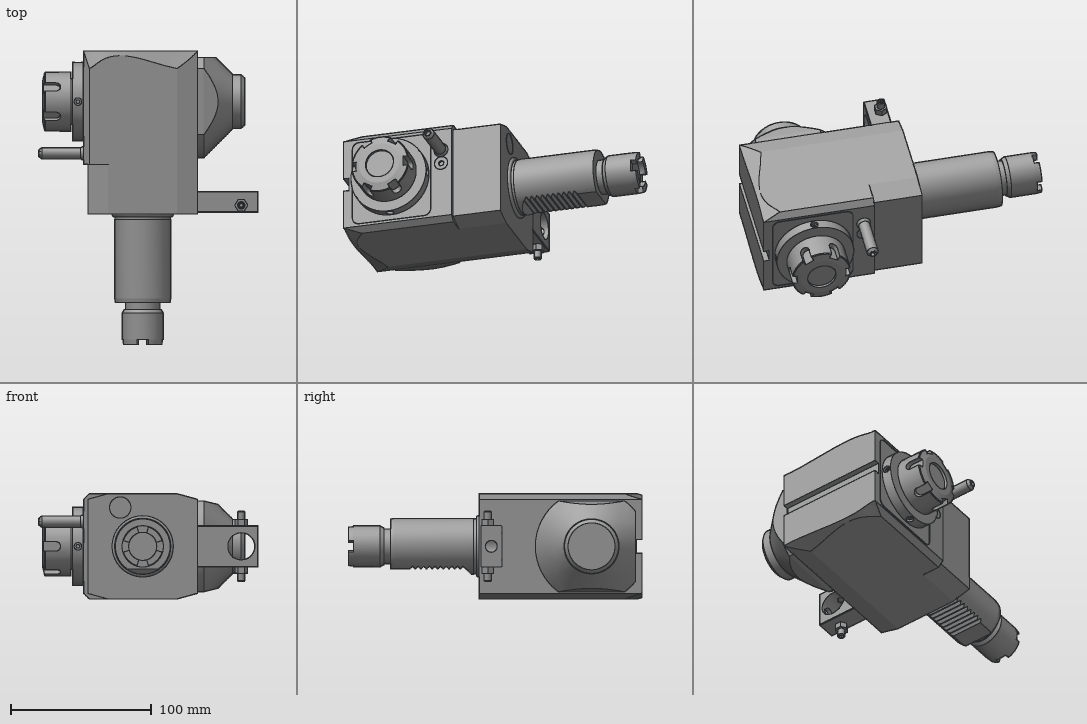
import cadquery as cq
import math

HALF_HEIGHT = 37.5
HALF_WIDTH = 39.0
HOUSING_LENGTH = 116.0
SIDE_SLOPE_WIDTH = 14.5
SIDE_SLOPE_DROP = 4.0
HEAD_START = 35.3
HEAD_FACE_X = -42.0
HEAD_CHAMFER = 4.0
BEVEL_SLOPE = 0.32
BEVEL_LEFT_X = HEAD_FACE_X + HEAD_CHAMFER
BEVEL_CREST_X = -13.6
BEVEL_RIGHT_X = HALF_WIDTH - SIDE_SLOPE_WIDTH
BEVEL_END_SETBACK = SIDE_SLOPE_DROP / BEVEL_SLOPE
BEVEL_CREST_SETBACK = 3.4
BEVEL_SHOULDER_X = -31.2
BEVEL_SHOULDER_SETBACK = 7.9
REAR_SLOT_WIDTH = 9.5
REAR_SLOT_DEPTH = 4.0
RELIEF_Y = 80.2
RELIEF_WIDTH = 58.4
RELIEF_HEIGHT = 63.0
RELIEF_CORNER = 5.0
RELIEF_DEPTH = 0.5
PLUG_X = -16.0
PLUG_Z = 27.6
PLUG_RADIUS = 7.6
PLUG_DEPTH = 0.4

FLANGE_RADIUS = 21.8
FLANGE_LENGTH = 2.0
FLANGE_ROUND = 1.5
UNDERCUT_RADIUS = 19.8
UNDERCUT_END = 3.8
SHAFT_RADIUS = 20.0
SHAFT_LENGTH = 63.0
LEAD_LENGTH = 2.7
LEAD_DROP = 0.5
NECK_RADIUS = 12.4
NECK_END = 67.8
COUPLING_RADIUS = 14.7
COUPLING_SHOULDER_RADIUS = 13.2
COUPLING_START = 70.6
COUPLING_TIP_RADIUS = 14.3
COUPLING_LENGTH = 93.0
COUPLING_BORE_RADIUS = 10.0
COUPLING_BORE_DEPTH = 4.2
DOG_DEPTH = 3.6
DOG_COUNT = 4
DOG_HALF_ANGLE = math.radians(16.5)

FLAT_Z = -16.0
FLAT_START = 9.2
TOOTH_COUNT = 10
TOOTH_PITCH = 4.0
TOOTH_FIRST = 11.4
TOOTH_DEPTH = 1.8

SPINDLE_Y = 80.0
RING_RADIUS = 28.0
RING_FRONT_X = -49.8
RING_BACK_X = -42.4
RING_SEAT_RADIUS = 25.0
SPINDLE_NECK_RADIUS = 16.3
NUT_RADIUS = 21.2
NUT_BACK_X = -51.2
NUT_SHOULDER_X = -69.3
NUT_CHAMFER = 0.6
NUT_FRONT_X = -71.2
NUT_FACE_RADIUS = 15.0
NUT_RECESS_RADIUS = 10.4
NUT_RECESS_DEPTH = 2.0
NUT_SLOT_COUNT = 6
NUT_SLOT_WIDTH = 6.8
NUT_SLOT_FLOOR = 17.5
NUT_SLOT_END_X = -58.5
RING_HOLE_COUNT = 4
RING_HOLE_RADIUS = 2.7
RING_HOLE_DEPTH = 2.0
RING_SOCKET_ACROSS = 2.5
RING_SOCKET_DEPTH = 2.0

COVER_RADIUS = 40.0
COVER_RIM_X = 43.5
COVER_CONE_END_X = 63.9
COVER_CONE_END_RADIUS = COVER_RADIUS - (COVER_CONE_END_X - COVER_RIM_X)
COVER_TIP_RADIUS = 19.2
COVER_TIP_X = 72.6
COVER_TIP_CHAMFER = 2.5
COVER_HALF_HEIGHT = 32.3
COVER_FLAT_SLOPE = 0.24
COVER_REAR_Y = 111.4

NOZZLE_Y = 43.2
NOZZLE_Z = 17.6
NOZZLE_RADIUS = 4.1
NOZZLE_TIP_X = -74.14
NOZZLE_CHAMFER = 1.8
NOZZLE_CHAMFER_LENGTH = 2.3
NOZZLE_SOCKET_ACROSS = 4.0
NOZZLE_SOCKET_DEPTH = 3.0
COLLAR_RADIUS = 5.6
COLLAR_FRONT_X = -44.2
SCREW_Z = 7.6
SCREW_RADIUS = 4.9
SCREW_RECESS = 0.3
SCREW_SOCKET_RADIUS = 1.9
SCREW_SOCKET_DEPTH = 2.0

BRACKET_END_X = 82.0
BRACKET_FRONT_Y = 1.2
BRACKET_THICKNESS = 15.0
BRACKET_HALF_HEIGHT = 14.75
BRACKET_CHAMFER = 0.5
BRACKET_END_HOLE_RADIUS = 4.2
BRACKET_HOLE_X = 70.1
BRACKET_HOLE_RADIUS = 9.6
STUD_Y = 6.2
STUD_RADIUS = 2.6
STUD_CHAMFER = 0.6
STUD_INNER_Z = 10.5
STUD_OUTER_Z = 25.0
STUD_SOCKET_ACROSS = 2.5
STUD_SOCKET_DEPTH = 2.0
HEX_NUT_ACROSS = 8.0
HEX_NUT_HEIGHT = 4.5

EMBED = 1.0


def x_plane(x, y=0.0, z=0.0):
    """Sketch plane facing -X, with its horizontal axis along -Y."""
    return cq.Workplane(cq.Plane(origin=(x, y, z), xDir=(0, -1, 0), normal=(-1, 0, 0)))


def box(x0, x1, y0, y1, z0, z1):
    size = (x1 - x0, y1 - y0, z1 - z0)
    return cq.Workplane("XY").box(*size, centered=False).translate((x0, y0, z0))


def hex_diameter(across_flats):
    return across_flats / math.cos(math.pi / 6)


def revolve_about_x(profile, y, z=0.0):
    """Revolve (x, radius) points around the line parallel to X through y, z."""
    turned = cq.Workplane("XY").polyline(profile).close().revolve(360, (0, 0), (1, 0))
    return turned.translate((0, y, z))


def extrude_along_y(points, start, end):
    return cq.Workplane("XZ").polyline(points).close().extrude(start - end).translate((0, start, 0))


def rear_bevel():
    """Wavy bevel cutter: a profile on the rear face swept forward and upward."""
    def profile_point(x, setback):
        return (x, HOUSING_LENGTH, HALF_HEIGHT - BEVEL_SLOPE * setback)

    wave = cq.Edge.makeSpline([
        cq.Vector(*profile_point(HEAD_FACE_X - EMBED, BEVEL_END_SETBACK)),
        cq.Vector(*profile_point(BEVEL_LEFT_X, BEVEL_END_SETBACK)),
        cq.Vector(*profile_point(BEVEL_SHOULDER_X, BEVEL_SHOULDER_SETBACK)),
        cq.Vector(*profile_point(BEVEL_CREST_X, BEVEL_CREST_SETBACK)),
        cq.Vector(*profile_point(BEVEL_RIGHT_X, BEVEL_END_SETBACK)),
        cq.Vector(*profile_point(HALF_WIDTH + EMBED, BEVEL_END_SETBACK)),
    ])
    first = wave.startPoint()
    last = wave.endPoint()
    rise = cq.Vector(0, 0, 2 * SIDE_SLOPE_DROP)
    outline = cq.Wire.assembleEdges([
        wave,
        cq.Edge.makeLine(last, last + rise),
        cq.Edge.makeLine(last + rise, first + rise),
        cq.Edge.makeLine(first + rise, first),
    ])
    reach = 2 * BEVEL_END_SETBACK
    sweep = cq.Vector(0, -reach, reach * BEVEL_SLOPE)
    return cq.Workplane(cq.Solid.extrudeLinear(outline, [], sweep))


def housing():
    shoulder_z = HALF_HEIGHT - SIDE_SLOPE_DROP
    slope_x = HALF_WIDTH - SIDE_SLOPE_WIDTH
    right_side = [
        (slope_x, HALF_HEIGHT),
        (HALF_WIDTH, shoulder_z),
        (HALF_WIDTH, -shoulder_z),
        (slope_x, -HALF_HEIGHT),
    ]
    front_left = [(-x, z) for x, z in reversed(right_side)]
    chamfer_z = HALF_HEIGHT - HEAD_CHAMFER
    head_left = [
        (BEVEL_LEFT_X, -HALF_HEIGHT),
        (HEAD_FACE_X, -chamfer_z),
        (HEAD_FACE_X, chamfer_z),
        (BEVEL_LEFT_X, HALF_HEIGHT),
    ]
    front = extrude_along_y(right_side + front_left, 0, HEAD_START)
    head = extrude_along_y(right_side + head_left, HEAD_START, HOUSING_LENGTH)
    bevel = rear_bevel()
    rear_slot = box(
        HEAD_FACE_X - EMBED, HALF_WIDTH + EMBED,
        HOUSING_LENGTH - REAR_SLOT_DEPTH, HOUSING_LENGTH,
        -REAR_SLOT_WIDTH / 2, REAR_SLOT_WIDTH / 2,
    )
    relief = (
        x_plane(HEAD_FACE_X, RELIEF_Y)
        .rect(RELIEF_WIDTH, RELIEF_HEIGHT)
        .extrude(-RELIEF_DEPTH)
        .edges("|X").fillet(RELIEF_CORNER)
    )
    plug = cq.Workplane("XZ").center(PLUG_X, PLUG_Z).circle(PLUG_RADIUS).extrude(-PLUG_DEPTH)
    body = front.union(head)
    for cutter in (bevel, bevel.mirror("XY"), rear_slot, relief, plug):
        body = body.cut(cutter)
    return body


def shaft():
    profile = [
        (0, -FLANGE_LENGTH),
        (UNDERCUT_RADIUS, -FLANGE_LENGTH),
        (UNDERCUT_RADIUS, -UNDERCUT_END),
        (SHAFT_RADIUS, -UNDERCUT_END),
        (SHAFT_RADIUS, LEAD_LENGTH - SHAFT_LENGTH),
        (SHAFT_RADIUS - LEAD_DROP, -SHAFT_LENGTH),
        (NECK_RADIUS, -SHAFT_LENGTH),
        (NECK_RADIUS, -NECK_END),
        (COUPLING_SHOULDER_RADIUS, -NECK_END),
        (COUPLING_RADIUS, -COUPLING_START),
        (COUPLING_RADIUS, DOG_DEPTH - COUPLING_LENGTH),
        (COUPLING_TIP_RADIUS, -COUPLING_LENGTH),
        (0, -COUPLING_LENGTH),
    ]
    flange = (
        cq.Workplane("XZ", origin=(0, EMBED, 0))
        .circle(FLANGE_RADIUS)
        .extrude(EMBED + FLANGE_LENGTH)
        .faces("<Y").edges().fillet(FLANGE_ROUND)
    )
    body = cq.Workplane("XY").polyline(profile).close().revolve(360, (0, 0), (0, 1))
    return body.cut(coupling_recess()).union(flange).cut(serrated_flat())


def coupling_recess():
    """Round recess with radial slots in the end of the drive coupling."""
    reach = 2 * COUPLING_RADIUS
    half_width = reach * math.tan(DOG_HALF_ANGLE)
    end_plane = cq.Workplane("XZ", origin=(0, -COUPLING_LENGTH, 0))
    recess = end_plane.circle(COUPLING_BORE_RADIUS).extrude(-COUPLING_BORE_DEPTH)
    wedge = (
        end_plane
        .polyline([(0, 0), (half_width, reach), (-half_width, reach)])
        .close()
        .extrude(-DOG_DEPTH)
    )
    for index in range(DOG_COUNT):
        angle = index * 360 / DOG_COUNT
        recess = recess.union(wedge.rotate((0, 0, 0), (0, 1, 0), angle))
    return recess


def serrated_flat():
    """Flat with a 45 degree run-out and V grooves across its width."""
    depth = SHAFT_RADIUS + FLAT_Z + EMBED
    below = FLAT_Z - depth
    flat = [
        (-FLAT_START, FLAT_Z),
        (-SHAFT_LENGTH, FLAT_Z),
        (-SHAFT_LENGTH, below),
        (depth - FLAT_START, below),
    ]
    half_length = SHAFT_RADIUS
    cutter = cq.Workplane("YZ").polyline(flat).close().extrude(half_length, both=True)
    for index in range(TOOTH_COUNT):
        y = -TOOTH_FIRST - index * TOOTH_PITCH
        groove = [
            (y - TOOTH_DEPTH, FLAT_Z),
            (y, FLAT_Z + TOOTH_DEPTH),
            (y + TOOTH_DEPTH, FLAT_Z),
        ]
        cutter = cutter.union(
            cq.Workplane("YZ").polyline(groove).close().extrude(half_length, both=True)
        )
    return cutter


def spindle():
    """Collet nut, its neck and the bearing ring on the head face."""
    profile = [
        (HEAD_FACE_X + EMBED, 0),
        (HEAD_FACE_X + EMBED, RING_SEAT_RADIUS),
        (RING_BACK_X, RING_SEAT_RADIUS),
        (RING_BACK_X, RING_RADIUS),
        (RING_FRONT_X, RING_RADIUS),
        (RING_FRONT_X, SPINDLE_NECK_RADIUS),
        (NUT_BACK_X, SPINDLE_NECK_RADIUS),
        (NUT_BACK_X, NUT_RADIUS),
        (NUT_SHOULDER_X, NUT_RADIUS),
        (NUT_SHOULDER_X - NUT_CHAMFER, NUT_RADIUS - NUT_CHAMFER),
        (NUT_FRONT_X, NUT_FACE_RADIUS),
        (NUT_FRONT_X, NUT_RECESS_RADIUS),
        (NUT_FRONT_X + NUT_RECESS_DEPTH, NUT_RECESS_RADIUS),
        (NUT_FRONT_X + NUT_RECESS_DEPTH, 0),
    ]
    body = revolve_about_x(profile, SPINDLE_Y)
    for index in range(NUT_SLOT_COUNT):
        body = body.cut(around_spindle(nut_slot(), index * 360 / NUT_SLOT_COUNT))
    for index in range(RING_HOLE_COUNT):
        body = body.cut(around_spindle(ring_hole(), index * 360 / RING_HOLE_COUNT))
    return body


def around_spindle(shape, angle):
    return shape.rotate((0, SPINDLE_Y, 0), (1, SPINDLE_Y, 0), angle)


def nut_slot():
    """Round-ended wrench slot on the -Y side of the nut, open at the nut front."""
    centre_x = NUT_SLOT_END_X - NUT_SLOT_WIDTH / 2
    start_x = NUT_FRONT_X - EMBED
    half_width = NUT_SLOT_WIDTH / 2
    return (
        cq.Workplane("XZ", origin=(0, SPINDLE_Y - NUT_SLOT_FLOOR, 0))
        .moveTo(start_x, half_width)
        .lineTo(centre_x, half_width)
        .threePointArc((NUT_SLOT_END_X, 0), (centre_x, -half_width))
        .lineTo(start_x, -half_width)
        .close()
        .extrude(NUT_RADIUS)
    )


def ring_hole():
    """Set screw hole with a hexagon socket on the -Y side of the ring."""
    centre_x = (RING_FRONT_X + RING_BACK_X) / 2
    outer = cq.Workplane("XZ", origin=(centre_x, SPINDLE_Y - RING_RADIUS, 0))
    hole = outer.circle(RING_HOLE_RADIUS).extrude(-RING_HOLE_DEPTH)
    socket = outer.polygon(6, hex_diameter(RING_SOCKET_ACROSS)).extrude(
        -RING_HOLE_DEPTH - RING_SOCKET_DEPTH
    )
    return hole.union(socket)


def cover():
    profile = [
        (HALF_WIDTH - EMBED, 0),
        (HALF_WIDTH - EMBED, COVER_RADIUS),
        (COVER_RIM_X, COVER_RADIUS),
        (COVER_CONE_END_X, COVER_CONE_END_RADIUS),
        (COVER_CONE_END_X, COVER_TIP_RADIUS),
        (COVER_TIP_X - COVER_TIP_CHAMFER, COVER_TIP_RADIUS),
        (COVER_TIP_X, COVER_TIP_RADIUS - COVER_TIP_CHAMFER),
        (COVER_TIP_X, 0),
    ]
    end_z = COVER_HALF_HEIGHT - COVER_FLAT_SLOPE * (COVER_TIP_X - COVER_RIM_X)
    upper = [
        (HALF_WIDTH - EMBED, COVER_HALF_HEIGHT),
        (COVER_RIM_X, COVER_HALF_HEIGHT),
        (COVER_TIP_X, end_z),
    ]
    lower = [(x, -z) for x, z in reversed(upper)]
    envelope = extrude_along_y(upper + lower, SPINDLE_Y - COVER_RADIUS, COVER_REAR_Y)
    return revolve_about_x(profile, SPINDLE_Y).intersect(envelope)


def nozzle():
    profile = [
        (HEAD_FACE_X + EMBED, 0),
        (HEAD_FACE_X + EMBED, COLLAR_RADIUS),
        (COLLAR_FRONT_X, NOZZLE_RADIUS),
        (NOZZLE_TIP_X + NOZZLE_CHAMFER_LENGTH, NOZZLE_RADIUS),
        (NOZZLE_TIP_X, NOZZLE_RADIUS - NOZZLE_CHAMFER),
        (NOZZLE_TIP_X, 0),
    ]
    socket = (
        x_plane(NOZZLE_TIP_X, NOZZLE_Y, NOZZLE_Z)
        .polygon(6, hex_diameter(NOZZLE_SOCKET_ACROSS))
        .extrude(-NOZZLE_SOCKET_DEPTH)
    )
    return revolve_about_x(profile, NOZZLE_Y, NOZZLE_Z).cut(socket)


def face_screw():
    """Sunk screw head with its socket, below the nozzle."""
    face = x_plane(HEAD_FACE_X, NOZZLE_Y, SCREW_Z)
    head = face.circle(SCREW_RADIUS).extrude(-SCREW_RECESS)
    socket = face.circle(SCREW_SOCKET_RADIUS).extrude(-SCREW_SOCKET_DEPTH)
    return head.union(socket)


def clamping_stud():
    """Upper clamping screw with its lock nut."""
    centre = (BRACKET_HOLE_X, STUD_Y)
    stud = (
        cq.Workplane("XY", origin=(*centre, STUD_INNER_Z))
        .circle(STUD_RADIUS)
        .extrude(STUD_OUTER_Z - STUD_INNER_Z)
        .faces(">Z").chamfer(STUD_CHAMFER)
    )
    lock_nut = (
        cq.Workplane("XY", origin=(*centre, BRACKET_HALF_HEIGHT))
        .polygon(6, hex_diameter(HEX_NUT_ACROSS))
        .extrude(HEX_NUT_HEIGHT)
    )
    socket = (
        cq.Workplane("XY", origin=(*centre, STUD_OUTER_Z))
        .polygon(6, hex_diameter(STUD_SOCKET_ACROSS))
        .extrude(-STUD_SOCKET_DEPTH)
    )
    return stud.union(lock_nut).cut(socket)


def bracket():
    block = box(
        HALF_WIDTH - EMBED, BRACKET_END_X,
        BRACKET_FRONT_Y, BRACKET_FRONT_Y + BRACKET_THICKNESS,
        -BRACKET_HALF_HEIGHT, BRACKET_HALF_HEIGHT,
    ).edges("|X").chamfer(BRACKET_CHAMFER)
    bore = (
        cq.Workplane("XZ", origin=(BRACKET_HOLE_X, BRACKET_FRONT_Y, 0))
        .circle(BRACKET_HOLE_RADIUS)
        .extrude(-BRACKET_THICKNESS)
    )
    stud_hole = (
        cq.Workplane("XY", origin=(BRACKET_HOLE_X, STUD_Y, 0))
        .circle(STUD_RADIUS)
        .extrude(BRACKET_HALF_HEIGHT, both=True)
    )
    end_hole = (
        x_plane(BRACKET_END_X, BRACKET_FRONT_Y + BRACKET_THICKNESS / 2)
        .circle(BRACKET_END_HOLE_RADIUS)
        .extrude(BRACKET_END_X - BRACKET_HOLE_X)
    )
    stud = clamping_stud()
    return block.cut(bore).cut(stud_hole).cut(end_hole).union(stud).union(stud.mirror("XY"))


result = housing().cut(face_screw())
for component in (shaft(), spindle(), cover(), nozzle(), bracket()):
    result = result.union(component)